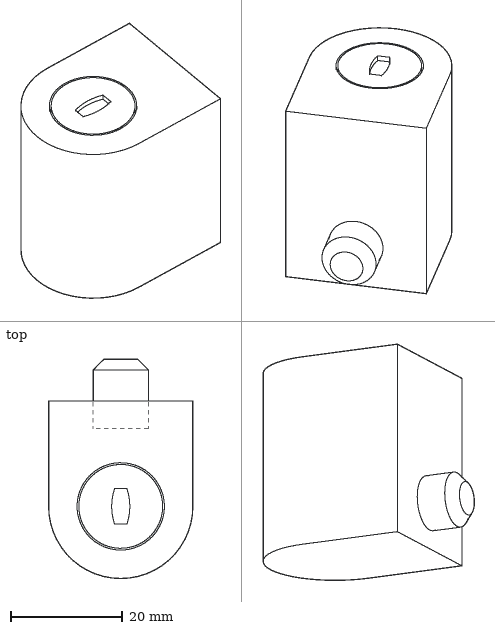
import cadquery as cq

HOUSING_WIDTH = 26.0
HOUSING_LENGTH = 32.0
HOUSING_HEIGHT = 35.0
FRONT_RADIUS = HOUSING_WIDTH / 2
BACK_Y = HOUSING_LENGTH - FRONT_RADIUS

PLUG_RADIUS = 7.55
BORE_RADIUS = 7.85
LOCK_DEPTH = 15.0

KEYWAY_LENGTH = 6.4
KEYWAY_END_WIDTH = 2.2
KEYWAY_MIDDLE_WIDTH = 3.28
KEYWAY_DEPTH = 1.0

OVERALL_LENGTH = 39.5
BOLT_DIAMETER = 10.0
BOLT_RADIUS = BOLT_DIAMETER / 2
BOLT_BEVEL = 1.98
BOLT_PROJECTION = OVERALL_LENGTH - HOUSING_LENGTH
BOLT_SEAT_DEPTH = BOLT_RADIUS
BOLT_AXIS_HEIGHT = 8.5


def lock_cylinder(radius):
    """Solid round bar on the lock axis, reaching down from the housing top."""
    return (
        cq.Workplane("XY")
        .workplane(offset=HOUSING_HEIGHT - LOCK_DEPTH)
        .circle(radius)
        .extrude(LOCK_DEPTH)
    )


def keyway_cutter():
    half_length = KEYWAY_LENGTH / 2
    half_end = KEYWAY_END_WIDTH / 2
    half_middle = KEYWAY_MIDDLE_WIDTH / 2
    return (
        cq.Workplane("XY")
        .workplane(offset=HOUSING_HEIGHT - KEYWAY_DEPTH)
        .moveTo(-half_end, -half_length)
        .lineTo(half_end, -half_length)
        .threePointArc((half_middle, 0), (half_end, half_length))
        .lineTo(-half_end, half_length)
        .threePointArc((-half_middle, 0), (-half_end, -half_length))
        .close()
        .extrude(KEYWAY_DEPTH)
    )


def make_plug():
    return lock_cylinder(PLUG_RADIUS).cut(keyway_cutter())


def make_bolt():
    return (
        cq.Workplane("XZ", origin=(0, BACK_Y - BOLT_SEAT_DEPTH, BOLT_AXIS_HEIGHT))
        .circle(BOLT_RADIUS)
        .extrude(-(BOLT_SEAT_DEPTH + BOLT_PROJECTION))
        .faces(">Y")
        .chamfer(BOLT_BEVEL)
    )


def make_housing(bolt_body):
    """Housing with the lock bore in its top and a hole that fits the bolt in its back."""
    block = (
        cq.Workplane("XY")
        .moveTo(-FRONT_RADIUS, BACK_Y)
        .lineTo(-FRONT_RADIUS, 0)
        .threePointArc((0, -FRONT_RADIUS), (FRONT_RADIUS, 0))
        .lineTo(FRONT_RADIUS, BACK_Y)
        .close()
        .extrude(HOUSING_HEIGHT)
    )
    return block.cut(lock_cylinder(BORE_RADIUS)).cut(bolt_body)


plug = make_plug()
bolt = make_bolt()
housing = make_housing(bolt)

result = cq.Compound.makeCompound([housing.val(), plug.val(), bolt.val()])